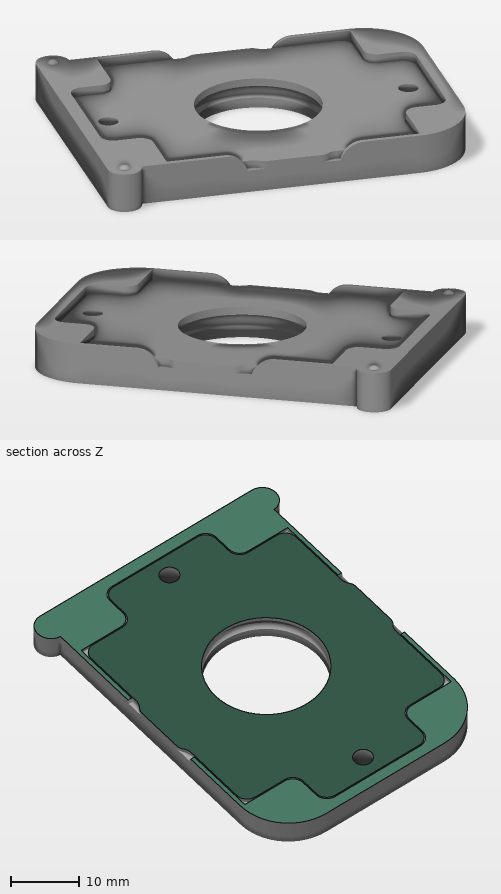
import cadquery as cq
import math

OVERALL_LENGTH = 56.45
OVERALL_WIDTH = 44.6
OVERALL_HEIGHT = 6.45
DOME_HEIGHT = 0.45
DOME_DIAMETER = 1.8
DOME_SPACING = 39.5

BODY_WIDTH = 40.1
BODY_CENTRE_Y = -0.1
BODY_CORNER_RADIUS = 9.0
EAR_RADIUS = 2.5
EAR_BAR_LENGTH = 5.1

POCKET_WIDTH = 38.6
POCKET_LENGTH = 38.5
POCKET_DEPTH = 2.55
TAB_WIDTH = 19.85
TAB_SPAN = 52.5
ROUNDING_RADIUS = 2.0

WINDOW_DIAMETER = 18.9
RECESS_DIAMETER = 21.4
LEDGE_THICKNESS = 1.6
SCREW_HOLE_DIAMETER = 3.0
SCREW_HOLE_PITCH = 45.6

NOTCH_FLOOR_LENGTH = 14.2
NOTCH_RADIUS = 3.5

PLATE_STACK_HEIGHT = 1.2
PLATE_COUNT = 2
PLATE_CLEARANCE = 0.1
PLATE_EAR_LENGTH = 10.5

BODY_HEIGHT = OVERALL_HEIGHT - DOME_HEIGHT
PLATE_THICKNESS = PLATE_STACK_HEIGHT / PLATE_COUNT
FLOOR_Z = BODY_HEIGHT - POCKET_DEPTH
FRONT_Y = BODY_CENTRE_Y - OVERALL_LENGTH / 2
EAR_BAR_Y = FRONT_Y + EAR_BAR_LENGTH / 2
DOME_CENTRES = [(-DOME_SPACING / 2, EAR_BAR_Y), (DOME_SPACING / 2, EAR_BAR_Y)]
SCREW_HOLE_CENTRES = [(0, -SCREW_HOLE_PITCH / 2), (0, SCREW_HOLE_PITCH / 2)]


def box(width, length, height, base_z=0.0):
    """Block centred on the window axis, standing on base_z."""
    return cq.Workplane("XY").workplane(offset=base_z).rect(width, length).extrude(height)


def cylinders(centres, diameter, height, base_z=0.0):
    """Upright cylinders of one diameter, standing on base_z."""
    plane = cq.Workplane("XY").workplane(offset=base_z)
    return plane.pushPoints(centres).circle(diameter / 2).extrude(height)


def cross_block(width, length, tab_width, tab_span, height, base_z):
    """Block with a tab on each Y end, rounded at the tab tips and tab roots."""
    cross = box(width, length, height, base_z).union(box(tab_width, tab_span, height, base_z))
    zone_x = (tab_width + width) / 4
    tab_zone = cq.selectors.BoxSelector((-zone_x, -tab_span, base_z), (zone_x, tab_span, base_z + height))
    return cross.edges("|Z").edges(tab_zone).fillet(ROUNDING_RADIUS)


def holder_blank():
    """Solid plate with rounded rear corners and a wider front bar whose rounded ends form the ears."""
    rear_y = FRONT_Y + OVERALL_LENGTH
    body_length = rear_y - EAR_BAR_Y
    body = box(BODY_WIDTH, body_length, BODY_HEIGHT).translate((0, rear_y - body_length / 2, 0))
    body = body.edges("|Z and >Y").fillet(BODY_CORNER_RADIUS)
    ear_bar = box(OVERALL_WIDTH, EAR_BAR_LENGTH, BODY_HEIGHT).translate((0, EAR_BAR_Y, 0))
    return body.union(ear_bar.edges("|Z").fillet(EAR_RADIUS))


def finger_notch():
    """Cutter across both side walls, with a convex arc leading down to each end of its floor."""
    drop = POCKET_DEPTH
    arc_run = math.sqrt(2 * NOTCH_RADIUS * drop - drop**2)
    half_floor = NOTCH_FLOOR_LENGTH / 2
    half_top = half_floor + arc_run
    half_angle = math.atan2(arc_run, NOTCH_RADIUS - drop) / 2
    mid_y = half_top - NOTCH_RADIUS * math.sin(half_angle)
    mid_z = BODY_HEIGHT - NOTCH_RADIUS * (1 - math.cos(half_angle))
    profile = (
        cq.Workplane("YZ")
        .moveTo(-half_top, BODY_HEIGHT)
        .threePointArc((-mid_y, mid_z), (-half_floor, FLOOR_Z))
        .lineTo(half_floor, FLOOR_Z)
        .threePointArc((mid_y, mid_z), (half_top, BODY_HEIGHT))
        .close()
    )
    return profile.extrude(BODY_WIDTH / 2, both=True)


def ear_domes():
    """Spherical caps on the ears, their spheres sunk into the body."""
    rim_radius = DOME_DIAMETER / 2
    sphere_radius = (rim_radius**2 + DOME_HEIGHT**2) / (2 * DOME_HEIGHT)
    sphere_z = OVERALL_HEIGHT - sphere_radius
    balls = cq.Workplane("XY").workplane(offset=sphere_z).pushPoints(DOME_CENTRES)
    return balls.sphere(sphere_radius)


def make_holder():
    """Housing with a cross-shaped pocket, a stepped window, screw holes and side notches."""
    pocket = cross_block(POCKET_WIDTH, POCKET_LENGTH, TAB_WIDTH, TAB_SPAN, POCKET_DEPTH, FLOOR_Z)
    window = cylinders([(0, 0)], WINDOW_DIAMETER, BODY_HEIGHT)
    recess = cylinders([(0, 0)], RECESS_DIAMETER, BODY_HEIGHT, LEDGE_THICKNESS)
    screw_holes = cylinders(SCREW_HOLE_CENTRES, SCREW_HOLE_DIAMETER, BODY_HEIGHT)
    holder = holder_blank().cut(pocket).cut(finger_notch())
    return holder.cut(window).cut(recess).cut(screw_holes).union(ear_domes())


def plate_side_ears(inner_width, base_z):
    """Bar reaching both holder sides, its ends blended into the plate edge by S-curves."""
    half_inner = inner_width / 2
    half_outer = BODY_WIDTH / 2
    step = half_outer - half_inner
    blend_run = math.sqrt(4 * ROUNDING_RADIUS * step - step**2)
    half_root = (PLATE_EAR_LENGTH + blend_run) / 2
    half_tip = (PLATE_EAR_LENGTH - blend_run) / 2
    half_mid = PLATE_EAR_LENGTH / 2
    mid_x = half_inner + step / 2
    half_turn = math.atan2(step, blend_run)
    sag = ROUNDING_RADIUS * (1 - math.cos(half_turn))
    reach = ROUNDING_RADIUS * math.sin(half_turn)
    bar = cq.Workplane("XY").workplane(offset=base_z).moveTo(-half_inner, -half_root)
    bar = (
        bar.lineTo(half_inner, -half_root)
        .threePointArc((half_inner + sag, reach - half_root), (mid_x, -half_mid))
        .threePointArc((half_outer - sag, -half_tip - reach), (half_outer, -half_tip))
        .lineTo(half_outer, half_tip)
        .threePointArc((half_outer - sag, half_tip + reach), (mid_x, half_mid))
        .threePointArc((half_inner + sag, half_root - reach), (half_inner, half_root))
        .lineTo(-half_inner, half_root)
        .threePointArc((-half_inner - sag, half_root - reach), (-mid_x, half_mid))
        .threePointArc((sag - half_outer, half_tip + reach), (-half_outer, half_tip))
        .lineTo(-half_outer, -half_tip)
        .threePointArc((sag - half_outer, -half_tip - reach), (-mid_x, -half_mid))
        .threePointArc((-half_inner - sag, reach - half_root), (-half_inner, -half_root))
        .close()
    )
    return bar.extrude(PLATE_THICKNESS)


def make_plate(base_z):
    """Thin plate that follows the pocket with a clearance and fills the side notches."""
    width = POCKET_WIDTH - 2 * PLATE_CLEARANCE
    plate = cross_block(
        width,
        POCKET_LENGTH - 2 * PLATE_CLEARANCE,
        TAB_WIDTH - 2 * PLATE_CLEARANCE,
        TAB_SPAN - 2 * PLATE_CLEARANCE,
        PLATE_THICKNESS,
        base_z,
    )
    plate = plate.edges("|Z and (<X or >X)").fillet(ROUNDING_RADIUS)
    plate = plate.union(plate_side_ears(width, base_z))
    window = cylinders([(0, 0)], WINDOW_DIAMETER, PLATE_THICKNESS, base_z)
    screw_holes = cylinders(SCREW_HOLE_CENTRES, SCREW_HOLE_DIAMETER, PLATE_THICKNESS, base_z)
    return plate.cut(window).cut(screw_holes)


holder = make_holder()
plates = [make_plate(FLOOR_Z + index * PLATE_THICKNESS) for index in range(PLATE_COUNT)]

result = cq.Compound.makeCompound([holder.val(), *[plate.val() for plate in plates]])